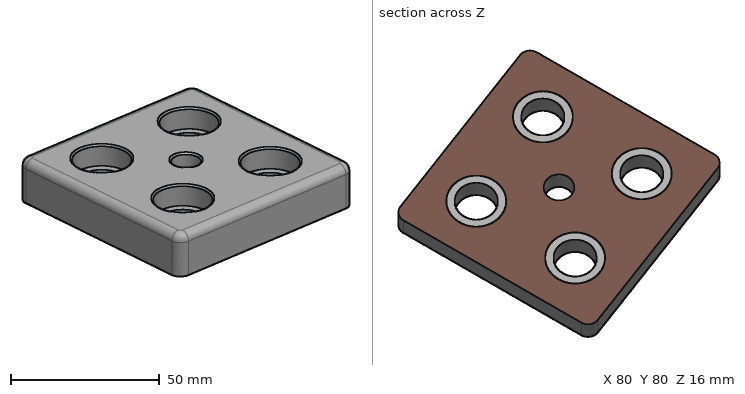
import cadquery as cq

side = 80.0
thickness = 16.0
corner_radius = 4.0
top_fillet = 3.0

hole_spacing = side / 2
hole_diameter = 14.5
counterbore_diameter = 20.0
counterbore_depth = 8.0
counterbore_chamfer = 0.6

center_diameter = 10.1
center_chamfer = 0.6


def chamfered_cutter(diameter, depth, chamfer):
    """Cylinder sunk from the top face, flared by a 45 degree chamfer at its mouth."""
    radius = diameter / 2
    bottom = thickness - depth
    return (
        cq.Workplane("XZ")
        .moveTo(0, bottom)
        .lineTo(radius, bottom)
        .lineTo(radius, thickness - chamfer)
        .lineTo(radius + chamfer, thickness)
        .lineTo(0, thickness)
        .close()
        .revolve(360, (0, 0, 0), (0, 1, 0))
    )


def mounting_hole_cutter():
    """Through hole with a chamfered counterbore above it."""
    through = cq.Workplane("XY").circle(hole_diameter / 2).extrude(thickness)
    counterbore = chamfered_cutter(counterbore_diameter, counterbore_depth, counterbore_chamfer)
    return through.union(counterbore)


plate = (
    cq.Workplane("XY")
    .box(side, side, thickness, centered=(True, True, False))
    .edges("|Z")
    .fillet(corner_radius)
    .faces(">Z")
    .edges()
    .fillet(top_fillet)
)

plate = plate.cut(chamfered_cutter(center_diameter, thickness, center_chamfer))

for x_sign in (-1, 1):
    for y_sign in (-1, 1):
        position = (x_sign * hole_spacing / 2, y_sign * hole_spacing / 2, 0)
        plate = plate.cut(mounting_hole_cutter().translate(position))

result = plate